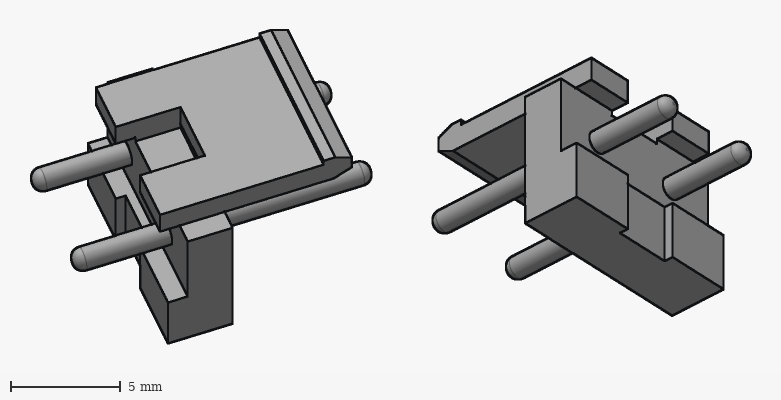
import cadquery as cq

body_width = 10.0
wall_front = 0.96
wall_back = 3.17
wall_height = 7.0
foot_height = 3.0

gap_width = 3.04
wall_notch_depth = 0.26
foot_recess_depth = 0.48

tongue_width = 8.0
tongue_top = 8.22
tongue_end = 9.4
ridge_top = 8.5
ridge_start = 8.02
ridge_slope_start = 8.58
nose_top = 8.12
nose_bottom = 7.4
nose_slope_start = 8.5

pin_pitch = 5.0
pin_diameter = 1.14
pin_height = 4.75
pin_front = -3.71
pin_length = 14.6
pin_tip_radius = 0.5


def block(width, y_start, y_end, z_start, z_end):
    """Box centred on X, spanning the given Y and Z ranges."""
    return cq.Workplane("XY").box(
        width, y_end - y_start, z_end - z_start, centered=(True, False, False)
    ).translate((0, y_start, z_start))


def make_body():
    wall = block(body_width, wall_front, wall_back, 0, wall_height)
    foot = block(body_width, 0, wall_front, 0, foot_height)
    foot_recess = block(gap_width, 0, foot_recess_depth, 0, foot_height)
    wall_notch = block(
        gap_width, wall_front, wall_back, wall_height - wall_notch_depth, wall_height
    )
    return wall.union(foot).cut(foot_recess).cut(wall_notch)


def make_tongue():
    profile = [
        (0, wall_height),
        (nose_slope_start, wall_height),
        (tongue_end, nose_bottom),
        (tongue_end, nose_top),
        (ridge_slope_start, ridge_top),
        (ridge_start, ridge_top),
        (ridge_start, tongue_top),
        (0, tongue_top),
    ]
    tongue = cq.Workplane("YZ").polyline(profile).close().extrude(tongue_width / 2, both=True)
    return tongue.cut(block(gap_width, 0, wall_back, wall_height, tongue_top))


def make_pin(x):
    axis_start = cq.Workplane("XZ", origin=(x, pin_front, pin_height))
    pin = axis_start.circle(pin_diameter / 2).extrude(-pin_length)
    return pin.faces("<Y or >Y").edges().fillet(pin_tip_radius)


result = make_body().union(make_tongue())
for side in (-1, 1):
    result = result.union(make_pin(side * pin_pitch / 2))